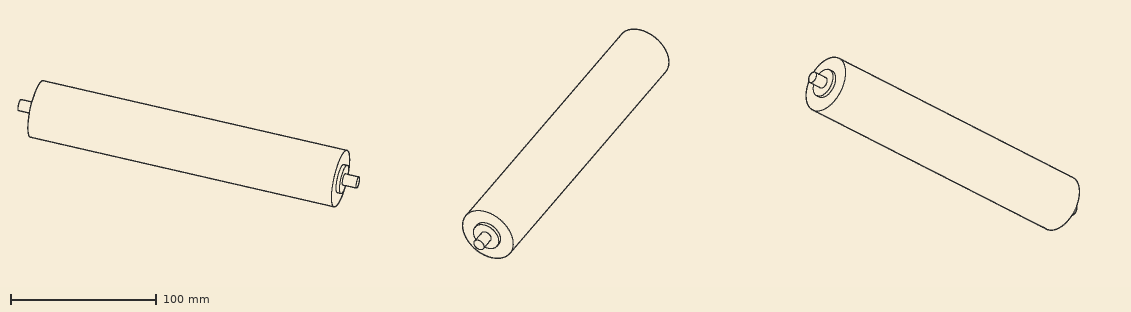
import cadquery as cq

overall_length = 245.0
shaft_diameter = 8.0
shaft_projection = 10.0
collar_diameter = 20.0
collar_width = 2.5
roller_diameter = 40.0

shaft_end = overall_length / 2
collar_end = shaft_end - shaft_projection
roller_end = collar_end - collar_width


def roller_half_profile():
    """Closed stepped outline above the X axis, in the XZ plane."""
    return (
        cq.Workplane("XZ")
        .moveTo(-shaft_end, 0)
        .lineTo(-shaft_end, shaft_diameter / 2)
        .lineTo(-collar_end, shaft_diameter / 2)
        .lineTo(-collar_end, collar_diameter / 2)
        .lineTo(-roller_end, collar_diameter / 2)
        .lineTo(-roller_end, roller_diameter / 2)
        .lineTo(roller_end, roller_diameter / 2)
        .lineTo(roller_end, collar_diameter / 2)
        .lineTo(collar_end, collar_diameter / 2)
        .lineTo(collar_end, shaft_diameter / 2)
        .lineTo(shaft_end, shaft_diameter / 2)
        .lineTo(shaft_end, 0)
        .close()
    )


result = roller_half_profile().revolve(360, (0, 0, 0), (1, 0, 0))